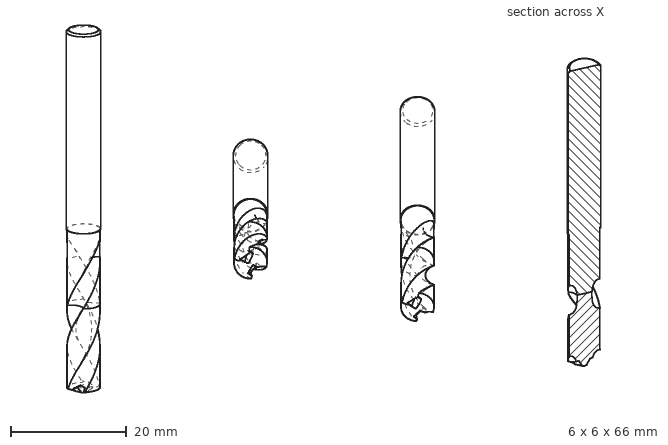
import cadquery as cq
import math

TOTAL_LENGTH = 66.0
SHANK_DIAMETER = 6.0
SHANK_START = 29.8
SHANK_CHAMFER = 0.4
DRILL_DIAMETER = 5.75
HEAD_TOP = 16.2
POINT_ANGLE = 140.0

FLUTE_COUNT = 2
HELIX_ANGLE = 30.0
FLUTE_PHASE = -87.0
FLUTE_WIDTH_ANGLE = 73.0
CORE_RADIUS = 1.4
FLUTE_TOP = 24.7
RUNOUT_RISE = 5.3
RUNOUT_SLOPE = 0.34

GASH_LEFT = -0.6
GASH_PEAK_X = 1.3
GASH_PEAK_HEIGHT = 2.3
GASH_RIGHT = 1.7
GASH_WEB_OFFSET = 0.3
GASH_WALL_TILT = 0.5

shank_radius = SHANK_DIAMETER / 2
drill_radius = DRILL_DIAMETER / 2
point_height = drill_radius / math.tan(math.radians(POINT_ANGLE / 2))
helix_tangent = math.tan(math.radians(HELIX_ANGLE))
flute_pitch = math.pi * DRILL_DIAMETER / helix_tangent
flute_twist = 360 * FLUTE_TOP / flute_pitch

half_mouth = drill_radius * math.sin(math.radians(FLUTE_WIDTH_ANGLE / 2))
mouth_depth = drill_radius * math.cos(math.radians(FLUTE_WIDTH_ANGLE / 2)) - CORE_RADIUS
flute_radius = (half_mouth**2 + mouth_depth**2) / (2 * mouth_depth)
flute_offset = CORE_RADIUS + flute_radius


def polar(radius, degrees):
    angle = math.radians(degrees)
    return radius * math.cos(angle), radius * math.sin(angle)


def make_flute(start_angle):
    """Helical flute cutter with a straight run-out that climbs out of the drill body."""
    helix = (
        cq.Workplane("XY")
        .pushPoints([polar(flute_offset, start_angle)])
        .circle(flute_radius)
        .twistExtrude(FLUTE_TOP, flute_twist)
    )
    end_angle = start_angle + flute_twist
    end_x, end_y = polar(flute_offset, end_angle)
    out_x, out_y = polar(RUNOUT_SLOPE * RUNOUT_RISE, end_angle)
    along_x, along_y = polar(helix_tangent * RUNOUT_RISE, end_angle + 90)
    section = cq.Wire.makeCircle(flute_radius, cq.Vector(end_x, end_y, FLUTE_TOP), cq.Vector(0, 0, 1))
    direction = cq.Vector(out_x + along_x, out_y + along_y, RUNOUT_RISE)
    runout = cq.Workplane(cq.Solid.extrudeLinear(section, [], direction))
    return helix, runout


def cut_flutes(body):
    for index in range(FLUTE_COUNT):
        helix, runout = make_flute(FLUTE_PHASE + index * 360 / FLUTE_COUNT)
        body = body.cut(helix).cut(runout)
    return body


def make_gash():
    """Notch cutter with a back wall that overhangs towards -Y, pulled straight out along -Y."""
    outline = [
        (0, 0),
        (GASH_RIGHT, 0),
        (GASH_RIGHT, point_height),
        (GASH_PEAK_X, GASH_PEAK_HEIGHT),
        (GASH_LEFT, point_height),
    ]
    corners = [cq.Vector(x, -GASH_WEB_OFFSET - GASH_WALL_TILT * z, z) for x, z in outline]
    wall = cq.Wire.makePolygon(corners, close=True)
    return cq.Workplane(cq.Solid.extrudeLinear(wall, [], cq.Vector(0, -DRILL_DIAMETER, 0)))


def cut_gashes(body):
    gash = make_gash()
    for index in range(FLUTE_COUNT):
        body = body.cut(gash.rotate((0, 0, 0), (0, 0, 1), index * 360 / FLUTE_COUNT))
    return body


def make_cutting_head():
    """Fluted head with a conical, web-thinned point, up to the joint."""
    outline = [(0, 0), (drill_radius, point_height), (drill_radius, HEAD_TOP), (0, HEAD_TOP)]
    blank = cq.Workplane("XZ").polyline(outline).close().revolve(360, (0, 0), (0, 1))
    return cut_gashes(cut_flutes(blank))


def make_holder():
    """Fluted neck and plain chamfered shank, above the joint."""
    outline = [
        (0, HEAD_TOP),
        (drill_radius, HEAD_TOP),
        (drill_radius, SHANK_START),
        (shank_radius, SHANK_START),
        (shank_radius, TOTAL_LENGTH - SHANK_CHAMFER),
        (shank_radius - SHANK_CHAMFER, TOTAL_LENGTH),
        (0, TOTAL_LENGTH),
    ]
    blank = cq.Workplane("XZ").polyline(outline).close().revolve(360, (0, 0), (0, 1))
    return cut_flutes(blank)


cutting_head = make_cutting_head()
holder = make_holder()
result = cq.Compound.makeCompound([cutting_head.val(), holder.val()])